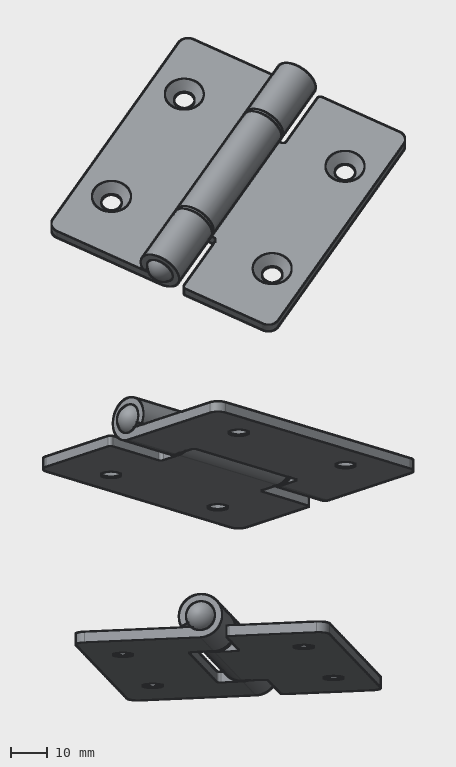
import cadquery as cq
import math

hinge_length = 80.0
hinge_width = 70.0
barrel_diameter = 12.0

head_height = 2.5
head_diameter = 8.0

leaf_length = hinge_length - 2 * head_height
barrel_radius = barrel_diameter / 2
plate_thickness = barrel_diameter / 4
plate_corner_radius = plate_thickness
pin_radius = barrel_radius - plate_thickness
curl_end_angle = 28.0

outer_knuckle_length = 18.0
washer_thickness = 1.0
middle_knuckle_length = leaf_length - 2 * (outer_knuckle_length + washer_thickness)
middle_slot_length = leaf_length - 2 * outer_knuckle_length
barrel_clearance = 1.0
slot_corner_radius = 1.0
slot_edge_x = barrel_radius + barrel_clearance

screw_hole_diameter = 5.5
countersink_diameter = 10.6
countersink_angle = 90.0
screw_x = 25.0
screw_spacing_y = 40.0


def y_cylinder(radius, length, y_center):
    """Cylinder on the pin axis, centred at y_center."""
    base = cq.Vector(0, y_center - length / 2, barrel_radius)
    return cq.Workplane(cq.Solid.makeCylinder(radius, length, base, cq.Vector(0, 1, 0)))


def point_on_barrel(radius, angle):
    """X and Z of a point around the pin axis; angle in degrees from +X."""
    turn = math.radians(angle)
    return radius * math.cos(turn), barrel_radius + radius * math.sin(turn)


def knuckle(length, y_center):
    """Curl joined to a strip of plate on the -X side that reaches the slot edge."""
    end_angle = 180 + curl_end_angle
    middle_angle = (end_angle - 90) / 2
    return (
        cq.Workplane("XZ", origin=(0, y_center + length / 2, 0))
        .moveTo(-slot_edge_x, 0)
        .lineTo(0, 0)
        .threePointArc(
            point_on_barrel(barrel_radius, middle_angle),
            point_on_barrel(barrel_radius, end_angle),
        )
        .lineTo(*point_on_barrel(pin_radius, end_angle))
        .threePointArc(point_on_barrel(pin_radius, middle_angle), (0, plate_thickness))
        .lineTo(-slot_edge_x, plate_thickness)
        .close()
        .extrude(length)
    )


def flat_plate():
    """Flat part of the -X leaf, with rounded outer corners and screw holes."""
    plate_width = hinge_width / 2 - slot_edge_x
    return (
        cq.Workplane("XY")
        .box(plate_width, leaf_length, plate_thickness, centered=(False, True, False))
        .translate((-hinge_width / 2, 0, 0))
        .edges("|Z and <X")
        .fillet(plate_corner_radius)
        .faces(">Z")
        .workplane(origin=(-screw_x, 0, plate_thickness))
        .pushPoints([(0, -screw_spacing_y / 2), (0, screw_spacing_y / 2)])
        .cskHole(screw_hole_diameter, countersink_diameter, countersink_angle)
    )


def slot_corner_fillet(y_wall, toward_slot):
    """Web rounding the corner between the slot edge and a knuckle's end at y_wall."""
    x_tangent = -slot_edge_x + slot_corner_radius
    y_tangent = y_wall + toward_slot * slot_corner_radius
    arc_reach = slot_corner_radius * math.sqrt(0.5)
    return (
        cq.Workplane("XY")
        .moveTo(-slot_edge_x, y_wall)
        .lineTo(x_tangent, y_wall)
        .threePointArc(
            (x_tangent - arc_reach, y_tangent - toward_slot * arc_reach),
            (-slot_edge_x, y_tangent),
        )
        .close()
        .extrude(plate_thickness)
    )


def outer_knuckle_leaf():
    """-X leaf with a knuckle at each end and a slot between them."""
    leaf = flat_plate()
    for side in (-1, 1):
        y_center = side * (leaf_length - outer_knuckle_length) / 2
        leaf = leaf.union(knuckle(outer_knuckle_length, y_center))
        leaf = leaf.union(slot_corner_fillet(side * middle_slot_length / 2, -side))
    return leaf


def middle_knuckle_leaf():
    """+X leaf with one knuckle in the middle, built on the -X side and turned around."""
    leaf = flat_plate().edges("|Z and >X").fillet(slot_corner_radius)
    leaf = leaf.union(knuckle(middle_knuckle_length, 0))
    for side in (-1, 1):
        leaf = leaf.union(slot_corner_fillet(side * middle_knuckle_length / 2, side))
    return leaf.rotate((0, 0, 0), (0, 0, 1), 180)


def washer(y_center):
    """Ring filling the gap between two knuckles."""
    ring = y_cylinder(barrel_radius, washer_thickness, y_center)
    return ring.cut(y_cylinder(pin_radius, washer_thickness, y_center))


def hinge_pin():
    """Shaft with a domed head at each end, revolved around the pin axis."""
    head_radius = head_diameter / 2
    dome_radius = (head_radius**2 + head_height**2) / (2 * head_height)
    half_angle = math.asin(head_radius / dome_radius) / 2
    dome_mid_x = dome_radius * math.sin(half_angle)
    dome_mid_y = hinge_length / 2 - dome_radius * (1 - math.cos(half_angle))
    shaft_end = leaf_length / 2
    return (
        cq.Workplane("XY", origin=(0, 0, barrel_radius))
        .moveTo(0, -hinge_length / 2)
        .threePointArc((dome_mid_x, -dome_mid_y), (head_radius, -shaft_end))
        .lineTo(pin_radius, -shaft_end)
        .lineTo(pin_radius, shaft_end)
        .lineTo(head_radius, shaft_end)
        .threePointArc((dome_mid_x, dome_mid_y), (0, hinge_length / 2))
        .close()
        .revolve(360, (0, 0, 0), (0, 1, 0))
    )


left_leaf = outer_knuckle_leaf()
right_leaf = middle_knuckle_leaf()
pin = hinge_pin()
washer_y = (middle_knuckle_length + washer_thickness) / 2
washers = [washer(side * washer_y) for side in (-1, 1)]

result = cq.Compound.makeCompound(
    [left_leaf.val(), right_leaf.val(), pin.val(), *[ring.val() for ring in washers]]
)